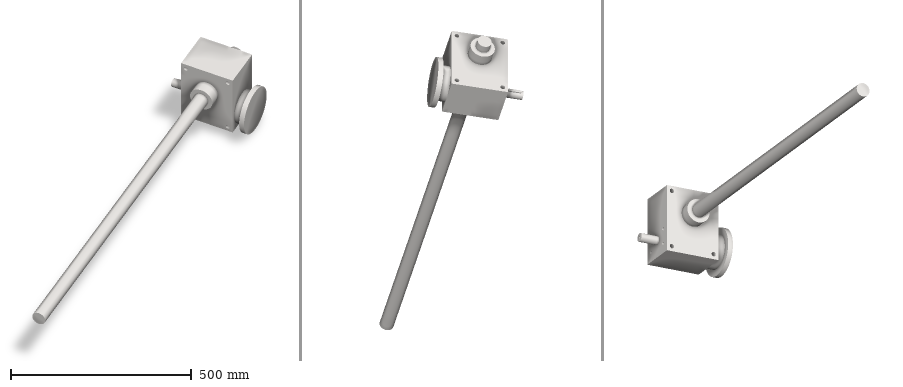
import cadquery as cq
import math


HOUSING_LENGTH = 160.0
HOUSING_DEPTH = 120.0
HOUSING_HEIGHT = 195.0
SCREW_TO_TOP = 75.0
HOUSING_LEFT = -HOUSING_LENGTH / 2
HOUSING_RIGHT = HOUSING_LENGTH / 2
HOUSING_BACK = HOUSING_DEPTH / 2
HOUSING_CENTRE_Z = SCREW_TO_TOP - HOUSING_HEIGHT / 2

MOUNT_HOLE_DIAMETER = 13.0
MOUNT_HOLE_SPACING_X = 130.0
MOUNT_HOLE_SPACING_Z = 165.0

COLLAR_DIAMETER = 69.0
COLLAR_LENGTH = 35.0

SCREW_DIAMETER = 40.0
SCREW_LENGTH = 1215.0
SCREW_BACK_OVERHANG = 25.0
SCREW_BACK_END = HOUSING_BACK + COLLAR_LENGTH + SCREW_BACK_OVERHANG

SHAFT_DROP = 70.0
SHAFT_DIAMETER = 25.0
SHAFT_OVERHANG = 55.0
SHAFT_SEAT_DEPTH = 40.0
SHAFT_END = HOUSING_LEFT - SHAFT_OVERHANG
CENTRE_HOLE_DIAMETER = 6.65
CENTRE_HOLE_DEPTH = 20.0

KEY_WIDTH = 8.0
KEY_HEIGHT = 7.0
KEY_LENGTH = 40.0
KEY_SEAT_DEPTH = 4.0
KEY_END_GAP = 5.0

FACE_HOLE_DIAMETER = 8.0
FACE_HOLE_CIRCLE_DIAMETER = 86.0
FACE_HOLE_ANGLE = 30.0
FACE_HOLE_SPACING_Y = FACE_HOLE_CIRCLE_DIAMETER * math.cos(math.radians(FACE_HOLE_ANGLE))
FACE_HOLE_SPACING_Z = FACE_HOLE_CIRCLE_DIAMETER * math.sin(math.radians(FACE_HOLE_ANGLE))
FACE_HOLE_DEPTH = 20.0

MOTOR_NECK_DIAMETER = 100.0
MOTOR_NECK_LENGTH = 25.0
FLANGE_DIAMETER = 140.0
FLANGE_THICKNESS = 15.0


def cylinder_along_x(diameter, start_x, length):
    """Cylinder on the input shaft axis, running towards +X."""
    plane = cq.Plane(origin=(start_x, 0, -SHAFT_DROP), xDir=(0, 1, 0), normal=(1, 0, 0))
    return cq.Workplane(plane).circle(diameter / 2).extrude(length)


def cylinder_along_y(diameter, start_y, length):
    """Cylinder on the screw axis, running towards -Y."""
    return cq.Workplane("XZ", origin=(0, start_y, 0)).circle(diameter / 2).extrude(length)


def make_screw():
    """Plain lifting screw passing right through the housing."""
    return cylinder_along_y(SCREW_DIAMETER, SCREW_BACK_END, SCREW_LENGTH)


def make_key():
    """Round-ended key lying along X, rising from its seat towards +Y."""
    key_centre_x = SHAFT_END + KEY_END_GAP + KEY_LENGTH / 2
    seat_y = SHAFT_DIAMETER / 2 - KEY_SEAT_DEPTH
    seat_plane = cq.Workplane("XZ", origin=(key_centre_x, seat_y, -SHAFT_DROP))
    return seat_plane.slot2D(KEY_LENGTH, KEY_WIDTH).extrude(-KEY_HEIGHT)


def make_shaft(key):
    """Input shaft with an end hole and a keyway matching the key."""
    shaft = cylinder_along_x(SHAFT_DIAMETER, SHAFT_END, SHAFT_OVERHANG + SHAFT_SEAT_DEPTH)
    centre_hole = cylinder_along_x(CENTRE_HOLE_DIAMETER, SHAFT_END, CENTRE_HOLE_DEPTH)
    return shaft.cut(centre_hole).cut(key)


def make_housing(screw):
    """Block with collars and motor flange, opened for the screw and the input shaft."""
    block = cq.Workplane("XY").box(HOUSING_LENGTH, HOUSING_DEPTH, HOUSING_HEIGHT)
    block = block.translate((0, 0, HOUSING_CENTRE_Z))

    mount_holes = (
        cq.Workplane("XZ", origin=(0, HOUSING_BACK, HOUSING_CENTRE_Z))
        .rarray(MOUNT_HOLE_SPACING_X, MOUNT_HOLE_SPACING_Z, 2, 2)
        .circle(MOUNT_HOLE_DIAMETER / 2)
        .extrude(HOUSING_DEPTH)
    )
    face_holes = (
        cq.Workplane("YZ", origin=(HOUSING_LEFT, 0, -SHAFT_DROP))
        .rarray(FACE_HOLE_SPACING_Y, FACE_HOLE_SPACING_Z, 2, 2)
        .circle(FACE_HOLE_DIAMETER / 2)
        .extrude(FACE_HOLE_DEPTH)
    )
    collar_span = HOUSING_DEPTH + 2 * COLLAR_LENGTH
    collars = cylinder_along_y(COLLAR_DIAMETER, HOUSING_BACK + COLLAR_LENGTH, collar_span)
    neck = cylinder_along_x(MOTOR_NECK_DIAMETER, HOUSING_RIGHT, MOTOR_NECK_LENGTH)
    flange = cylinder_along_x(FLANGE_DIAMETER, HOUSING_RIGHT + MOTOR_NECK_LENGTH, FLANGE_THICKNESS)

    housing = block.cut(mount_holes).cut(face_holes)
    housing = housing.union(collars).union(neck).union(flange)
    shaft_seat = cylinder_along_x(SHAFT_DIAMETER, HOUSING_LEFT, SHAFT_SEAT_DEPTH)
    return housing.cut(screw).cut(shaft_seat)


screw = make_screw()
key = make_key()
shaft = make_shaft(key)
housing = make_housing(screw)

result = cq.Compound.makeCompound([housing.val(), screw.val(), shaft.val(), key.val()])